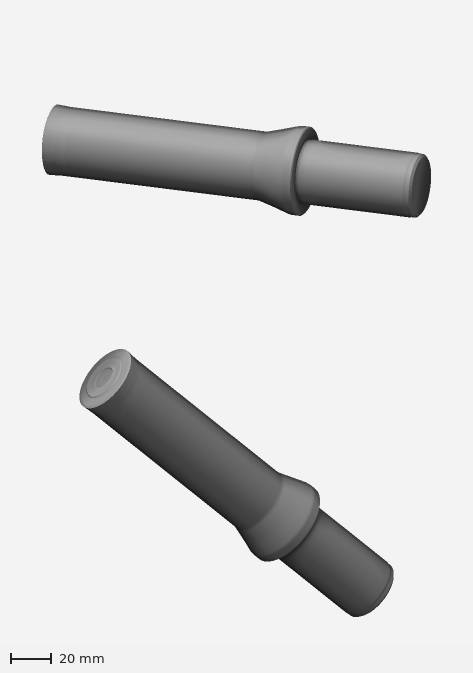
import cadquery as cq
import math


total_length = 191.99
tip_x = -132.0
head_length = 12.8
taper_length = 7.7
head_end_x = tip_x + head_length
taper_end_x = tip_x + taper_length
shank_end_x = tip_x + total_length

body_radius = 34 / 2
cutting_radius = 34.8 / 2
flange_radius = 44 / 2
shank_radius = 32 / 2
relief_radius = 31.5 / 2

outer_step_radius = 11.85
outer_ring_radius = 11.25
valley_radius = 8.1
inner_ring_radius = 5.9
inner_step_radius = 5.4
face_slope = 0.065
step_depth = 0.45

steep_start_radius = 15.5
steep_slope = 0.12
chamfer_start_radius = 16.5
chamfer_length = 0.4

cone_angle = math.radians(16.4)
body_blend_length = 1.9
rim_blend_length = 1.4
rim_width = 4.2
flange_edge_chamfer = 0.5

front_relief_length = 1.0
relief_step_length = 1.2
rear_relief_length = 3.0
rear_chamfer_length = 1.2
rear_chamfer_depth = 1.2


def revolve_about_x(outline):
    """Close an outline drawn as (x, radius) points and turn it about the X axis."""
    return outline.close().revolve(360, (0, 0, 0), (1, 0, 0))


def make_cutting_head():
    """Front end of the drill, with a ringed face and a back taper behind the corner."""
    valley_x = tip_x + face_slope * (outer_ring_radius - valley_radius)
    inner_ring_x = valley_x - face_slope * (valley_radius - inner_ring_radius)
    inner_step_x = inner_ring_x + step_depth
    center_x = inner_step_x + face_slope * inner_step_radius
    outer_step_x = tip_x + step_depth
    steep_start_x = outer_step_x + face_slope * (steep_start_radius - outer_step_radius)
    chamfer_start_x = steep_start_x + steep_slope * (chamfer_start_radius - steep_start_radius)
    outline = (
        cq.Workplane("XY")
        .moveTo(head_end_x, 0)
        .lineTo(center_x, 0)
        .lineTo(inner_step_x, inner_step_radius)
        .lineTo(inner_ring_x, inner_ring_radius)
        .lineTo(valley_x, valley_radius)
        .lineTo(tip_x, outer_ring_radius)
        .lineTo(outer_step_x, outer_step_radius)
        .lineTo(steep_start_x, steep_start_radius)
        .lineTo(chamfer_start_x, chamfer_start_radius)
        .lineTo(chamfer_start_x + chamfer_length, cutting_radius)
        .lineTo(taper_end_x, body_radius)
        .lineTo(head_end_x, body_radius)
    )
    return revolve_about_x(outline)


def make_drill_body():
    """Drill body, flange and shank in one piece."""
    blend_slope = math.tan(cone_angle / 2)
    cone_start_radius = body_radius + body_blend_length * blend_slope
    cone_end_radius = flange_radius - rim_blend_length * blend_slope
    rim_x = -rim_width
    cone_end_x = rim_x - rim_blend_length
    cone_start_x = cone_end_x - (cone_end_radius - cone_start_radius) / math.tan(cone_angle)
    body_end_x = cone_start_x - body_blend_length
    rear_relief_x = shank_end_x - rear_relief_length
    outline = (
        cq.Workplane("XY")
        .moveTo(head_end_x, 0)
        .lineTo(head_end_x, body_radius)
        .lineTo(body_end_x, body_radius)
        .tangentArcPoint((cone_start_x, cone_start_radius), relative=False)
        .lineTo(cone_end_x, cone_end_radius)
        .tangentArcPoint((rim_x, flange_radius), relative=False)
        .lineTo(-flange_edge_chamfer, flange_radius)
        .lineTo(0, flange_radius - flange_edge_chamfer)
        .lineTo(0, relief_radius)
        .lineTo(front_relief_length, relief_radius)
        .lineTo(front_relief_length + relief_step_length, shank_radius)
        .lineTo(rear_relief_x - relief_step_length, shank_radius)
        .lineTo(rear_relief_x, relief_radius)
        .lineTo(shank_end_x - rear_chamfer_length, relief_radius)
        .lineTo(shank_end_x, relief_radius - rear_chamfer_depth)
        .lineTo(shank_end_x, 0)
    )
    return revolve_about_x(outline)


cutting_head = make_cutting_head()
drill_body = make_drill_body()

result = cq.Compound.makeCompound([cutting_head.val(), drill_body.val()])